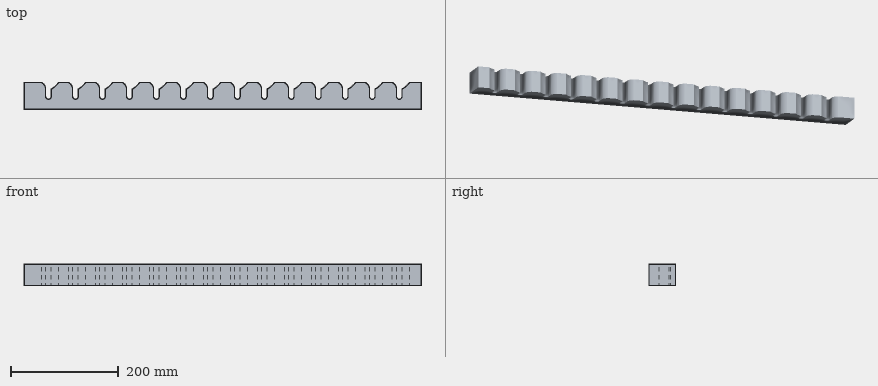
import cadquery as cq

bar_length = 736.0
bar_width = 50.0
bar_height = 40.0

notch_count = 14
notch_pitch = 50.0
first_notch_x = 45.0
notch_width = 10.0
notch_depth = 31.0

shoulder_run = 8.0
shoulder_drop = 10.0
shoulder_radius = 16.0

ramp_run = 14.0
ramp_drop = 12.5
ramp_radius = 40.0


def make_bar():
    """Plain rectangular bar with one corner at the origin."""
    return cq.Workplane("XY").box(bar_length, bar_width, bar_height, centered=False)


def make_notch(center_x):
    """Cutter for one round-bottomed notch, with the curved openings on both sides."""
    notch_radius = notch_width / 2
    left = center_x - notch_radius
    right = center_x + notch_radius
    floor_y = bar_width - notch_depth
    floor_arc_y = floor_y + notch_radius
    return (
        cq.Workplane("XY")
        .moveTo(left - shoulder_run, bar_width)
        .radiusArc((left, bar_width - shoulder_drop), shoulder_radius)
        .lineTo(left, floor_arc_y)
        .threePointArc((center_x, floor_y), (right, floor_arc_y))
        .lineTo(right, bar_width - ramp_drop)
        .radiusArc((right + ramp_run, bar_width), -ramp_radius)
        .close()
        .extrude(bar_height)
    )


result = make_bar()
for index in range(notch_count):
    result = result.cut(make_notch(first_notch_x + index * notch_pitch))